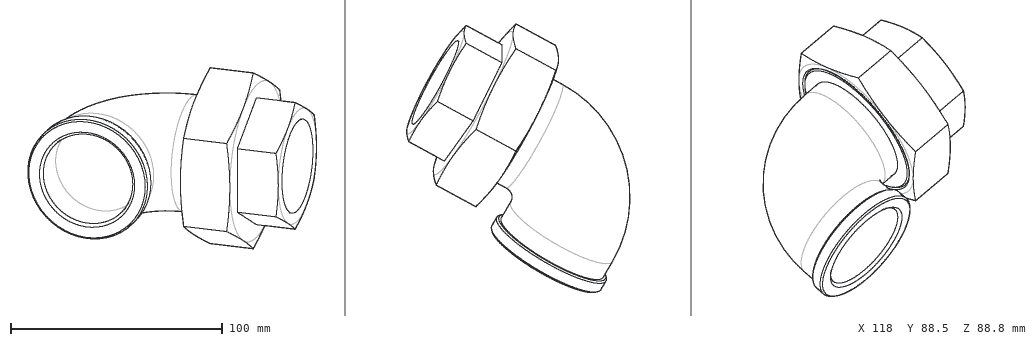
import cadquery as cq
import math

pipe_radius = 28.0
bore_radius = 22.4
bend_radius = 34.5
bore_bend_radius = 30.7

inlet_end = 50.0
collar_radius = 30.0
collar_length = 6.6
collar_chamfer = 0.8
bore_chamfer = 1.4

nut_start = 42.7
nut_length = 24.8
nut_across_flats = 76.9
hex_bevel_angle = 15

groove_radius = 35.2
groove_depth = 0.7

overall_length = 118
outlet_end = overall_length - collar_radius
tail_across_flats = 55.5

nut_end = nut_start + nut_length


def hex_prism(across_flats, start, length):
    """Hexagonal bar along X with corners pointing up and down."""
    across_corners = across_flats / math.cos(math.radians(30))
    return (
        cq.Workplane("YZ", origin=(start, 0, 0))
        .polygon(6, across_corners)
        .extrude(length)
        .rotate((0, 0, 0), (1, 0, 0), 30)
    )


def bevel_corners(hexagon, across_flats, face_x, inward):
    """Trim the hexagon corners with a shallow cone from the circle touching the flats."""
    inner = across_flats / 2
    outer = across_flats
    depth = (outer - inner) * math.tan(math.radians(hex_bevel_angle))
    cutter = (
        cq.Workplane("XY")
        .moveTo(face_x, inner)
        .lineTo(face_x + inward * depth, outer)
        .lineTo(face_x, outer)
        .close()
        .revolve(360, (0, 0, 0), (1, 0, 0))
    )
    return hexagon.cut(cutter)


def elbow(radius, turn_radius, outlet_x):
    """Round bar following the bend, from the inlet end to outlet_x."""
    arc_offset = turn_radius * (1 - math.sqrt(0.5))
    path = (
        cq.Workplane("XY")
        .moveTo(0, -inlet_end)
        .lineTo(0, -turn_radius)
        .threePointArc((arc_offset, -arc_offset), (turn_radius, 0))
        .lineTo(outlet_x, 0)
    )
    return cq.Workplane("XZ", origin=(0, -inlet_end, 0)).circle(radius).sweep(path)


collar = (
    cq.Workplane("XZ", origin=(0, collar_length - inlet_end, 0))
    .circle(collar_radius)
    .extrude(collar_length)
    .faces("<Y or >Y")
    .chamfer(collar_chamfer)
)

nut = hex_prism(nut_across_flats, nut_start, nut_length)
nut = bevel_corners(nut, nut_across_flats, nut_start, 1)
nut = bevel_corners(nut, nut_across_flats, nut_end, -1)
groove = (
    cq.Workplane("XY")
    .moveTo(nut_start, groove_radius - groove_depth)
    .lineTo(nut_start + groove_depth, groove_radius)
    .lineTo(nut_start, groove_radius + groove_depth)
    .close()
    .revolve(360, (0, 0, 0), (1, 0, 0))
)
nut = nut.cut(groove)

tail = hex_prism(tail_across_flats, nut_end, outlet_end - nut_end)
tail = bevel_corners(tail, tail_across_flats, outlet_end, -1)

body = elbow(pipe_radius, bend_radius, nut_end).union(collar).union(nut).union(tail)
body = body.cut(elbow(bore_radius, bore_bend_radius, outlet_end))

mouth = (
    cq.Workplane("XY")
    .moveTo(0, -inlet_end)
    .lineTo(bore_radius + bore_chamfer, -inlet_end)
    .lineTo(bore_radius, -inlet_end + bore_chamfer)
    .lineTo(0, -inlet_end + bore_chamfer)
    .close()
    .revolve(360, (0, 0, 0), (0, 1, 0))
)
result = body.cut(mouth)